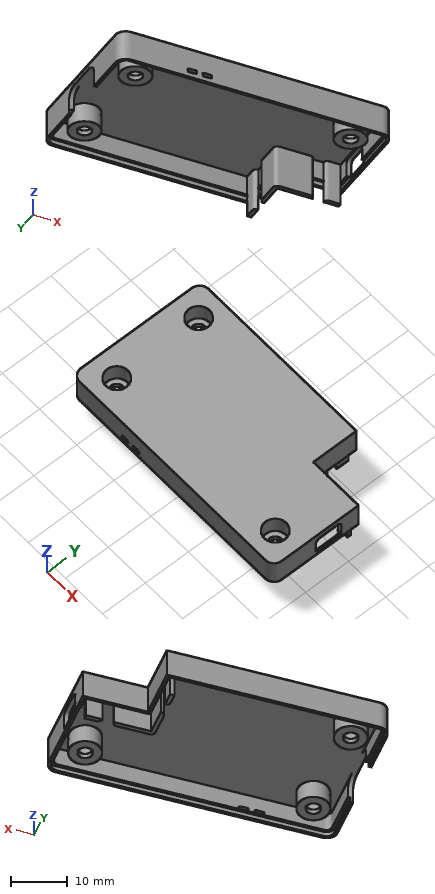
import cadquery as cq

length = 54.0
width = 30.0
body_height = 5.95
total_height = 9.5
corner_radius = 2.05
notch_length = 12.15
notch_width = 10.05

wall = 0.95
roof = 1.0
lip = wall / 2
rebate_height = 1.0
ceiling = body_height - roof

screw_positions = [(5.7, 5.45), (5.55, 24.7), (48.4, 5.4)]
boss_diameter = 6.0
counterbore_diameter = 5.0
screw_diameter = 2.7
boss_floor = 1.0

cable_opening_start = 10.25
cable_opening_width = 9.55
cable_opening_radius = 2.0

window_start = 10.0
window_width = 6.0
window_bottom = 0.55
window_height = 4.0
window_radius = 0.95

slot_centers = [14.2, 17.15]
slot_length = 1.85
slot_height = 0.7
slot_z = 1.4

rib_thickness = 0.8
long_rib_x_end = 47.85
long_rib_y_end = 24.15
short_rib_x_start = 50.0
short_rib_y_start = 26.25

notch_x = length - notch_length
notch_y = width - notch_width
rib_outer_x = notch_x - wall
rib_outer_y = notch_y - wall
rib_inner_x = rib_outer_x - rib_thickness
rib_inner_y = rib_outer_y - rib_thickness
rib_bottom = body_height - total_height
rib_height = ceiling - rib_bottom
rib_rounding = rib_thickness * 0.99


def box(x0, x1, y0, y1, z0, height):
    return cq.Workplane("XY").box(x1 - x0, y1 - y0, height, centered=False).translate((x0, y0, z0))


def notched_block(inset, height):
    """Cover outline moved inwards by inset, extruded up from Z = 0."""
    right, back = length - inset, width - inset
    step_x, step_y = notch_x - inset, notch_y - inset
    outline = [(inset, inset), (right, inset), (right, step_y), (step_x, step_y), (step_x, back), (inset, back)]
    block = cq.Workplane("XY").polyline(outline).close().extrude(height)
    rounding = corner_radius - inset
    block = block.edges("|Z and <X").fillet(rounding)
    return block.edges(cq.selectors.NearestToPointSelector((right, inset, height / 2))).fillet(rounding)


def make_shell():
    shell = notched_block(0, body_height)
    shell = shell.cut(notched_block(wall, ceiling))
    return shell.cut(notched_block(lip, rebate_height))


def add_screw_bosses(part):
    for x, y in screw_positions:
        column = cq.Workplane("XY", origin=(x, y, rebate_height))
        part = part.union(column.circle(boss_diameter / 2).extrude(body_height - rebate_height))
    for x, y in screw_positions:
        column = cq.Workplane("XY", origin=(x, y, 0))
        part = part.cut(column.circle(screw_diameter / 2).extrude(body_height))
        seat = column.workplane(offset=rebate_height + boss_floor)
        part = part.cut(seat.circle(counterbore_diameter / 2).extrude(body_height))
    return part


def cut_wall_openings(part):
    cable_end = cable_opening_start + cable_opening_width
    cable = box(0, wall, cable_opening_start, cable_end, 0, ceiling)
    part = part.cut(cable.edges("|X and >Z").fillet(cable_opening_radius))

    window_end = window_start + window_width
    window = box(length - wall, length, window_start, window_end, window_bottom, window_height)
    part = part.cut(window.edges("|X").fillet(window_radius))

    slots = cq.Workplane("XZ").pushPoints([(x, slot_z) for x in slot_centers])
    return part.cut(slots.slot2D(slot_length, slot_height).extrude(-wall))


def rounded_edges(rib, points):
    for x, y in points:
        nearest = cq.selectors.NearestToPointSelector((x, y, rib_bottom + rib_height / 2))
        rib = rib.edges(nearest).fillet(rib_rounding)
    return rib


def add_locating_ribs(part):
    corner_rib = box(rib_inner_x, long_rib_x_end, rib_inner_y, rib_outer_y, rib_bottom, rib_height)
    corner_rib = corner_rib.union(
        box(rib_inner_x, rib_outer_x, rib_inner_y, long_rib_y_end, rib_bottom, rib_height)
    )
    corner_rib = rounded_edges(corner_rib, [
        (rib_inner_x, rib_inner_y),
        (long_rib_x_end, rib_inner_y),
        (rib_inner_x, long_rib_y_end),
    ])

    right_rib = box(short_rib_x_start, length - wall, rib_inner_y, rib_outer_y, rib_bottom, rib_height)
    right_rib = rounded_edges(right_rib, [(short_rib_x_start, rib_inner_y)])

    back_rib = box(rib_inner_x, rib_outer_x, short_rib_y_start, width - wall, rib_bottom, rib_height)
    back_rib = rounded_edges(back_rib, [(rib_inner_x, short_rib_y_start)])
    return part.union(corner_rib).union(right_rib).union(back_rib)


result = make_shell()
result = add_screw_bosses(result)
result = cut_wall_openings(result)
result = add_locating_ribs(result)